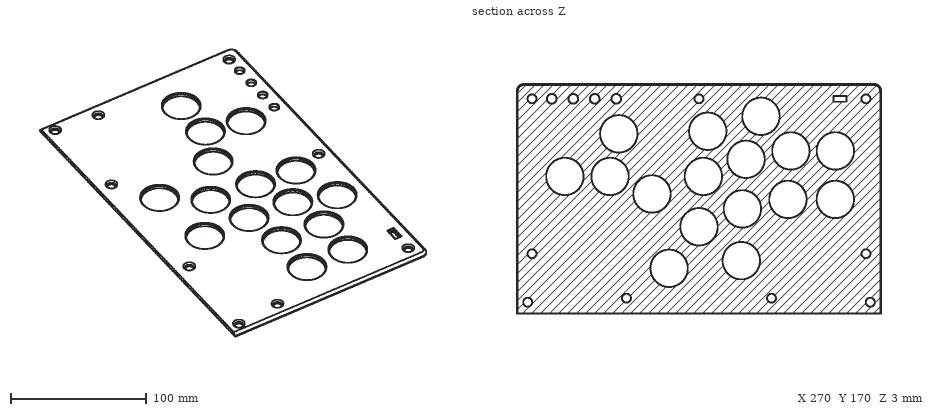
import cadquery as cq

LENGTH = 270.0
DEPTH = 170.0
THICKNESS = 3.0
CORNER_RADIUS = 5.5
EDGE_BEVEL = 2.2

RIM_CHAMFER = 0.8
COUNTERSINK_ANGLE = 90

BUTTON_DIAMETER = 27.5
BUTTON_CENTERS = [
    (-99.4, 101.5), (-66.0, 101.5), (-34.8, 88.5), (-59.5, 133.0),
    (-22.1, 33.5), (31.3, 39.2),
    (0.0, 64.3), (32.0, 77.5), (66.0, 84.5), (101.0, 84.5),
    (3.2, 101.5), (34.8, 114.2), (68.0, 120.5), (101.0, 120.5),
    (6.5, 135.0), (46.0, 146.0),
]

BACK_ROW_Y = 159.0
CONTROL_DIAMETER = 7.0
CONTROL_RIM_CHAMFER = 0.3
CONTROL_COUNT = 4
CONTROL_PITCH = 16.0
FIRST_CONTROL_X = -109.0

SCREW_DIAMETER = 6.5
SCREW_HEAD_DIAMETER = 9.0
SIDE_SCREW_X = 123.7
SCREW_PAIRS = [(SIDE_SCREW_X, BACK_ROW_Y), (SIDE_SCREW_X, 44.3), (127.0, 8.5), (53.7, 11.3)]
BACK_MIDDLE_SCREW = (0.0, BACK_ROW_Y)

WINDOW_X = 104.5
WINDOW_LENGTH = 9.5
WINDOW_WIDTH = 4.0


def make_plate():
    """Plate with rounded back corners, bevelled on top along every edge but the front."""
    plate = cq.Workplane("XY").box(LENGTH, DEPTH, THICKNESS, centered=(True, False, False))
    plate = plate.edges("|Z and >Y").fillet(CORNER_RADIUS)
    return plate.faces(">Z").edges("not <Y").chamfer(EDGE_BEVEL)


def on_top(plate):
    """Workplane on the top surface, sharing the X and Y of the part."""
    return plate.faces(">Z").workplane(origin=(0, 0, THICKNESS))


def cut_chamfered_holes(plate, centers, diameter, rim_chamfer):
    """Through holes whose top rims carry the small chamfer."""
    rim_diameter = diameter + 2 * rim_chamfer
    return on_top(plate).pushPoints(centers).cskHole(diameter, rim_diameter, COUNTERSINK_ANGLE)


def cut_buttons(plate):
    return cut_chamfered_holes(plate, BUTTON_CENTERS, BUTTON_DIAMETER, RIM_CHAMFER)


def cut_control_row(plate):
    centers = [(FIRST_CONTROL_X + i * CONTROL_PITCH, BACK_ROW_Y) for i in range(CONTROL_COUNT)]
    return cut_chamfered_holes(plate, centers, CONTROL_DIAMETER, CONTROL_RIM_CHAMFER)


def cut_screw_holes(plate):
    centers = [(side * x, y) for x, y in SCREW_PAIRS for side in (-1, 1)]
    centers.append(BACK_MIDDLE_SCREW)
    return on_top(plate).pushPoints(centers).cskHole(SCREW_DIAMETER, SCREW_HEAD_DIAMETER, COUNTERSINK_ANGLE)


def cut_window(plate):
    opening = cq.Workplane("XY").box(WINDOW_LENGTH, WINDOW_WIDTH, THICKNESS, centered=(True, True, False))
    rim = (
        cq.Workplane("XY", origin=(0, 0, THICKNESS))
        .rect(WINDOW_LENGTH + 2 * RIM_CHAMFER, WINDOW_WIDTH + 2 * RIM_CHAMFER)
        .extrude(-RIM_CHAMFER, taper=45)
    )
    cutter = opening.union(rim)
    return plate.cut(cutter.translate((WINDOW_X, BACK_ROW_Y, 0)))


result = make_plate()
result = cut_buttons(result)
result = cut_control_row(result)
result = cut_screw_holes(result)
result = cut_window(result)